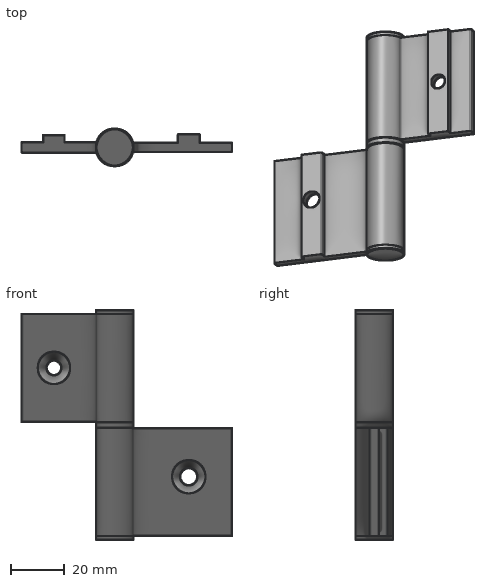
import cadquery as cq
import math


total_height = 85.25
barrel_diameter = 14.0
barrel_radius = barrel_diameter / 2
leaf_height = 40.0
spacer_thickness = 2.3
cap_thickness = (total_height - spacer_thickness) / 2 - leaf_height
rim_chamfer = 0.25

upper_reach = 34.5
upper_plate_thickness = 4.0
upper_rib_x = -22.5
upper_rib_width = 8.0
upper_rib_height = 2.6
upper_hole_diameter = 5.4
upper_sink_diameter = 12.0
upper_hole_z = 21.1

lower_reach = 43.5
lower_plate_thickness = 3.6
lower_rib_x = 27.45
lower_rib_width = 8.2
lower_rib_height = 3.15
lower_rib_rounding = 0.5
lower_hole_diameter = 6.3
lower_sink_diameter = 12.4
lower_hole_z = -19.2

plate_end_rounding = 0.5
root_fillet = 0.25
sink_angle = 90.0

upper_leaf_bottom = spacer_thickness / 2
upper_leaf_top = upper_leaf_bottom + leaf_height
lower_leaf_bottom = -upper_leaf_top


def make_disc(bottom, thickness, chamfered_edges):
    """Disc as wide as the barrels, with the selected rims chamfered."""
    disc = cq.Workplane("XY").workplane(offset=bottom).circle(barrel_radius).extrude(thickness)
    return disc.faces(chamfered_edges).edges().chamfer(rim_chamfer)


def make_plate(end_x, thickness, bottom):
    """Plate from the pivot axis out to end_x, with a rounded free end."""
    plate = cq.Workplane("XY").box(abs(end_x), thickness, leaf_height)
    plate = plate.translate((end_x / 2, 0, bottom + leaf_height / 2))
    free_end = ">X" if end_x > 0 else "<X"
    return plate.faces(free_end).edges("|Z").fillet(plate_end_rounding)


def make_rib(center_x, width, plate_thickness, height, bottom):
    """Full-height locating rib standing on the back (+Y) of a plate."""
    rib_depth = plate_thickness / 2 + height
    rib = cq.Workplane("XY").box(width, rib_depth, leaf_height)
    return rib.translate((center_x, rib_depth / 2, bottom + leaf_height / 2))


def cut_screw_hole(leaf, x, z, plate_thickness, hole_diameter, sink_diameter):
    """Through hole along Y, countersunk from the front (-Y) of the plate."""
    front = cq.Workplane("XZ", origin=(x, -plate_thickness / 2, z))
    return leaf.copyWorkplane(front).cskHole(hole_diameter, sink_diameter, sink_angle)


def make_leaf(plate, rib, side, plate_thickness, bottom):
    """Barrel and plate joined with small root fillets, plus the rib; side is -1 or 1 along X."""
    barrel = cq.Workplane("XY").workplane(offset=bottom).circle(barrel_radius).extrude(leaf_height)
    leaf = barrel.union(plate)
    root_y = plate_thickness / 2
    root_x = side * math.sqrt(barrel_radius**2 - root_y**2)
    for face_y in (-root_y, root_y):
        root_middle = (root_x, face_y, bottom + leaf_height / 2)
        root_edge = leaf.edges("|Z").edges(cq.NearestToPointSelector(root_middle))
        leaf = root_edge.fillet(root_fillet)
    return leaf.union(rib)


def make_upper_leaf():
    plate = make_plate(-upper_reach, upper_plate_thickness, upper_leaf_bottom)
    rib = make_rib(
        upper_rib_x, upper_rib_width, upper_plate_thickness, upper_rib_height, upper_leaf_bottom
    )
    leaf = make_leaf(plate, rib, -1, upper_plate_thickness, upper_leaf_bottom)
    return cut_screw_hole(
        leaf, upper_rib_x, upper_hole_z, upper_plate_thickness, upper_hole_diameter, upper_sink_diameter
    )


def make_lower_leaf():
    plate = make_plate(lower_reach, lower_plate_thickness, lower_leaf_bottom)
    rib = make_rib(
        lower_rib_x, lower_rib_width, lower_plate_thickness, lower_rib_height, lower_leaf_bottom
    )
    rib = rib.faces(">Y").edges("|Z").fillet(lower_rib_rounding)
    leaf = make_leaf(plate, rib, 1, lower_plate_thickness, lower_leaf_bottom)
    return cut_screw_hole(
        leaf, lower_rib_x, lower_hole_z, lower_plate_thickness, lower_hole_diameter, lower_sink_diameter
    )


upper_leaf = make_upper_leaf()
lower_leaf = make_lower_leaf()

spacer = make_disc(-spacer_thickness / 2, spacer_thickness, "|Z")

end_caps = []
for cap_bottom, outer_face in (
    (upper_leaf_top, ">Z"),
    (lower_leaf_bottom - cap_thickness, "<Z"),
):
    end_caps.append(make_disc(cap_bottom, cap_thickness, outer_face).val())

result = cq.Compound.makeCompound([upper_leaf.val(), lower_leaf.val(), spacer.val(), *end_caps])